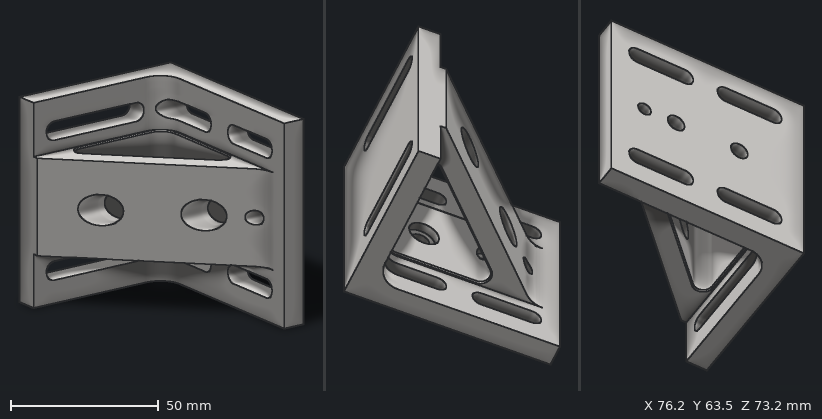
import cadquery as cq
import math

WIDTH = 76.2
DEPTH = 63.5
HEIGHT = 73.15
PLATE = 8.15
CORNER_RADIUS = 8.1

WEB_HEIGHT = 34.75
WEB_TOE = 10.2
WEB_FILLET = 10.0

WINDOW_CHAMFER = 0.5
WINDOW_WALL = PLATE + 2 * WINDOW_CHAMFER
WINDOW_REACH = 53.35
WINDOW_CORNER_RADIUS = 6.1
WINDOW_TIP_RADIUS = 3.5

SLOT_WIDTH = 6.7
SLOT_OFFSET = 24.9
BACK_SLOT_LENGTH = 25.4
BACK_SLOT_CENTERS = (21.6, 56.55)
SIDE_SLOT_LENGTH = 40.85
SIDE_SLOT_CENTER = 37.65

BOLT_HOLE = 6.6
BOLT_ACCESS = 11.05
BOLT_SEAT = 6.0
BOLT_CENTERS = (25.6, 50.6)
PIN_HOLE = 5.1
PIN_CENTER = 63.1


def make_plates():
    """L-shaped pair of plates with a rounded inner corner."""
    profile = [
        (0, 0), (WIDTH, 0), (WIDTH, -PLATE), (PLATE, -PLATE),
        (PLATE, -DEPTH), (0, -DEPTH),
    ]
    plates = cq.Workplane("XY").polyline(profile).close().extrude(HEIGHT / 2, both=True)
    inner_corner = cq.selectors.NearestToPointSelector((PLATE, -PLATE, 0))
    return plates.edges("|Z").edges(inner_corner).fillet(CORNER_RADIUS)


def make_web():
    """45 degree gusset whose far end blends into the back plate."""
    blend = WEB_FILLET * math.tan(math.radians(22.5))
    diagonal_blend = blend * math.sqrt(0.5)
    corner_x = WEB_TOE + DEPTH - PLATE
    blend_end_x = corner_x + blend
    blend_angle = math.radians(67.5)
    blend_mid = (
        blend_end_x - WEB_FILLET * math.cos(blend_angle),
        -PLATE - WEB_FILLET * (1 - math.sin(blend_angle)),
    )
    return (
        cq.Workplane("XY")
        .moveTo(0, 0)
        .lineTo(0, -DEPTH)
        .lineTo(WEB_TOE, -DEPTH)
        .lineTo(corner_x - diagonal_blend, -PLATE - diagonal_blend)
        .threePointArc(blend_mid, (blend_end_x, -PLATE))
        .lineTo(blend_end_x, 0)
        .close()
        .extrude(WEB_HEIGHT / 2, both=True)
    )


def make_window():
    """Triangular prism with rounded corners, cut through the web along Z."""
    square_corner = (WINDOW_WALL, -WINDOW_WALL)
    side_tip = (WINDOW_WALL, -WINDOW_REACH)
    back_tip = (WINDOW_REACH, -WINDOW_WALL)
    window = (
        cq.Workplane("XY")
        .polyline([square_corner, back_tip, side_tip])
        .close()
        .extrude(WEB_HEIGHT / 2, both=True)
    )
    rounded_corners = (
        (square_corner, WINDOW_CORNER_RADIUS),
        (back_tip, WINDOW_TIP_RADIUS),
        (side_tip, WINDOW_TIP_RADIUS),
    )
    for corner, radius in rounded_corners:
        nearest = cq.selectors.NearestToPointSelector((*corner, 0))
        window = window.edges("|Z").edges(nearest).fillet(radius)
    return window


def make_windowed_web():
    """Web with the window cut and both of its rims chamfered."""
    web = make_web().cut(make_window())
    for face in (">Z", "<Z"):
        rim = web.faces(face).val().innerWires()[0]
        web = web.newObject(rim.Edges()).chamfer(WINDOW_CHAMFER)
    return web


def make_back_slots():
    """Four slots along X through the back plate."""
    centers = [(x, z) for x in BACK_SLOT_CENTERS for z in (-SLOT_OFFSET, SLOT_OFFSET)]
    return (
        cq.Workplane("XZ")
        .pushPoints(centers)
        .slot2D(BACK_SLOT_LENGTH, SLOT_WIDTH)
        .extrude(DEPTH)
    )


def make_side_slots():
    """Two slots along Y through the side plate."""
    centers = [(-SIDE_SLOT_CENTER, z) for z in (-SLOT_OFFSET, SLOT_OFFSET)]
    return (
        cq.Workplane("YZ")
        .pushPoints(centers)
        .slot2D(SIDE_SLOT_LENGTH, SLOT_WIDTH)
        .extrude(PLATE + CORNER_RADIUS)
    )


def make_hole(center_x, diameter, start_depth=0):
    """Cylinder along Y from start_depth in front of the back face, out past the web."""
    return (
        cq.Workplane("XZ")
        .workplane(offset=start_depth)
        .center(center_x, 0)
        .circle(diameter / 2)
        .extrude(DEPTH - start_depth)
    )


result = make_plates().union(make_windowed_web())
result = result.cut(make_back_slots()).cut(make_side_slots())

for bolt_x in BOLT_CENTERS:
    result = result.cut(make_hole(bolt_x, BOLT_HOLE))
    result = result.cut(make_hole(bolt_x, BOLT_ACCESS, BOLT_SEAT))

result = result.cut(make_hole(PIN_CENTER, PIN_HOLE))